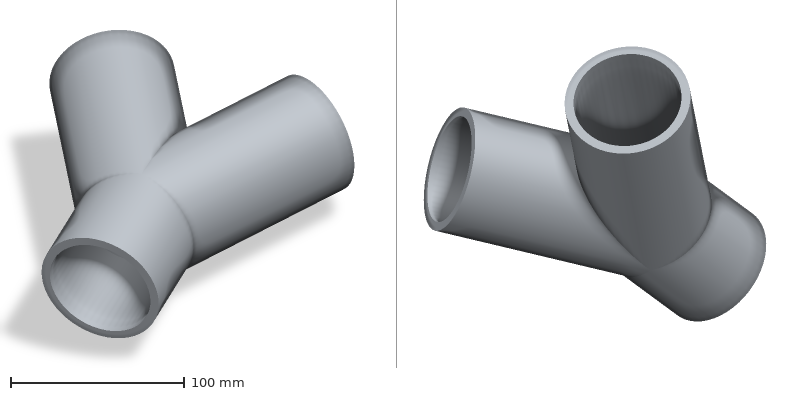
import cadquery as cq
import math

outer_diameter = 73.0
bore_diameter = 62.7
branch_length = 127.0
trunk_length = branch_length / 2
branch_angle = 30


def cylinder_from_junction(diameter, length, direction):
    """Solid cylinder that starts at the junction and runs along the direction."""
    solid = cq.Solid.makeCylinder(diameter / 2, length, cq.Vector(0, 0, 0), direction)
    return cq.Workplane(obj=solid)


def wye(diameter):
    """Trunk and two mirrored branches of one diameter, joined at the junction."""
    body = cylinder_from_junction(diameter, trunk_length, cq.Vector(0, -1, 0))
    for angle in (-branch_angle, branch_angle):
        direction = cq.Vector(math.sin(math.radians(angle)), math.cos(math.radians(angle)), 0)
        body = body.union(cylinder_from_junction(diameter, branch_length, direction))
    return body


result = wye(outer_diameter).cut(wye(bore_diameter))